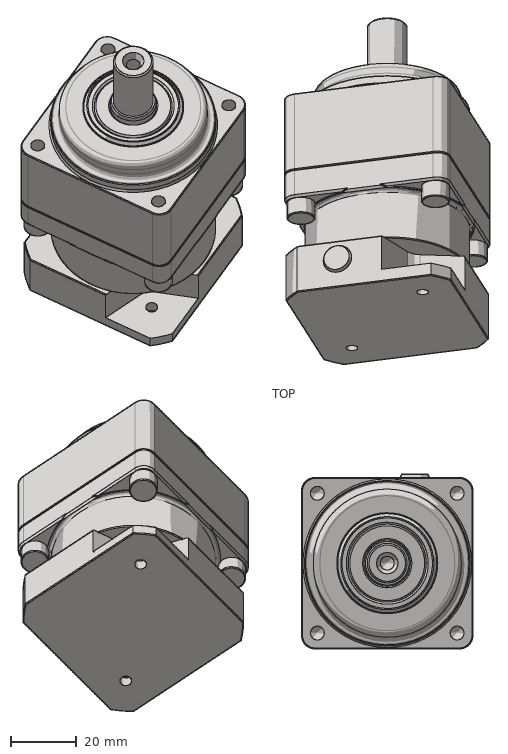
import cadquery as cq
import math

width = 52.0
half_width = width / 2
corner_radius = 4.2
edge_chamfer = 0.3

notch_floor_z = 4.1
plate_top_z = 15.5
flare_start_z = 30.8
boss_bottom_z = 31.8
flange_bottom_z = 32.2
housing_bottom_z = 41.5
housing_top_z = 67.3
ring_base_z = 68.0
ring_top_z = 70.4
dome_top_z = 76.5
rim_top_z = 77.4
collar_top_z = 79.7
total_height = 99.5

plate_turned_diameter = 67.0
notch_start = 5.5
notch_wall_angle = 20.0
notch_fillet = 5.2
motor_hole_diameter = 3.5
motor_hole_offset = 15.5
plug_base_diameter = 9.0
plug_tip_diameter = 8.0
plug_height = 1.0
plug_x = 8.4
plug_z = 9.5

body_diameter = 50.0
boss_diameter = 53.0
flare_radius = boss_bottom_z - flare_start_z
flange_chamfer_height = 0.8
flange_chamfer_width = 0.5

screw_offset = 21.2
screw_head_diameter = 8.5
screw_head_bottom_z = 27.1
mount_hole_diameter = 4.2
mount_hole_depth = 9.95
drill_point_angle = 118.0

ring_base_radius = 25.6
ring_radius = 25.1
dome_radius = 22.5
dome_fillet = 2.0
rim_radius = 15.0
rim_chamfer_height = 0.7
rim_chamfer_width = 0.9
rim_gap = 0.3
rim_inner_radius = 13.7
rim_step = 0.3
groove_outer_radius = 12.4
groove_radius = 11.8
groove_inner_radius = 11.3
groove_bottom_z = 76.5
seal_top_z = 77.1
seal_lip_radius = 7.5
seal_lip_depth = 0.5

collar_diameter = 14.0
collar_chamfer_height = 1.0
collar_chamfer_width = 0.4
shaft_diameter = 12.0
shaft_chamfer = 0.5
center_sink_diameter = 6.5
center_bore_diameter = 4.2
center_bore_depth = 8.0
center_sink_angle = 60.0


def square_block(bottom_z, top_z):
    """Square block with rounded vertical corners."""
    block = cq.Workplane("XY").workplane(offset=bottom_z).rect(width, width).extrude(top_z - bottom_z)
    return block.edges("|Z").fillet(corner_radius)


def drill_tip_depth(diameter):
    """Height of the cone left by a drill point."""
    return diameter / 2 / math.tan(math.radians(drill_point_angle / 2))


def blind_hole(x, y, top_z, diameter, depth):
    """Drilled hole with a conical bottom, opening upwards."""
    radius = diameter / 2
    profile = (
        cq.Workplane("XZ")
        .moveTo(0, top_z)
        .lineTo(radius, top_z)
        .lineTo(radius, top_z - depth)
        .lineTo(0, top_z - depth - drill_tip_depth(diameter))
        .close()
    )
    return profile.revolve(360, (0, 0, 0), (0, 1, 0)).translate((x, y, 0))


def notch():
    """V-shaped corner pocket at +X -Y, symmetric about the plate diagonal."""
    reach = half_width - notch_start
    lean = math.radians(notch_wall_angle)
    vertex = notch_start + reach * math.sin(lean) / (math.cos(lean) + math.sin(lean))
    overshoot = 1.0
    outside = half_width + overshoot
    wall_end = notch_start - overshoot * math.tan(lean)
    pocket = (
        cq.Workplane("XY")
        .workplane(offset=notch_floor_z)
        .polyline([(wall_end, -outside), (outside, -outside), (outside, -wall_end), (vertex, -vertex)])
        .close()
        .extrude(plate_top_z - notch_floor_z)
    )
    inner_edge = cq.selectors.NearestToPointSelector((vertex, -vertex, (notch_floor_z + plate_top_z) / 2))
    return pocket.edges(inner_edge).fillet(notch_fillet)


def motor_plate():
    plate = cq.Workplane("XY").rect(width, width).extrude(plate_top_z)
    plate = plate.intersect(cq.Workplane("XY").circle(plate_turned_diameter / 2).extrude(plate_top_z))
    plate = plate.faces("<Z or >Z").chamfer(edge_chamfer)
    hole = (
        cq.Workplane("XY")
        .center(motor_hole_offset, -motor_hole_offset)
        .circle(motor_hole_diameter / 2)
        .extrude(notch_floor_z)
    )
    corner_cut = notch().union(hole)
    for angle in (0, 180):
        plate = plate.cut(corner_cut.rotate((0, 0, 0), (0, 0, 1), angle))
    return plate


def side_plug():
    """Tapered plug on the +Y side of the plate."""
    base_radius = plug_base_diameter / 2
    taper = math.degrees(math.atan((base_radius - plug_tip_diameter / 2) / plug_height))
    return (
        cq.Workplane("XZ", origin=(plug_x, half_width, plug_z))
        .circle(base_radius)
        .extrude(-plug_height, taper=taper)
    )


def chamfered_flange(bottom_z, top_z):
    """Square block with its lower rim bevelled."""
    return square_block(bottom_z, top_z).faces("<Z").chamfer(flange_chamfer_height, flange_chamfer_width)


def flange():
    block = chamfered_flange(flange_bottom_z, housing_bottom_z)
    return block.faces(">Z").chamfer(edge_chamfer)


def round_body():
    """Cylinder flaring into a shallow boss; the boss is trimmed and bevelled like the flange."""
    radius = body_diameter / 2
    boss_radius = boss_diameter / 2
    flare_center_r = radius + flare_radius
    diagonal = flare_radius * math.sqrt(0.5)
    boss_top_z = flange_bottom_z + flange_chamfer_height
    body = (
        cq.Workplane("XZ")
        .moveTo(0, plate_top_z)
        .lineTo(radius - edge_chamfer, plate_top_z)
        .lineTo(radius, plate_top_z + edge_chamfer)
        .lineTo(radius, flare_start_z)
        .threePointArc(
            (flare_center_r - diagonal, flare_start_z + diagonal),
            (flare_center_r, boss_bottom_z),
        )
        .lineTo(boss_radius, boss_bottom_z)
        .lineTo(boss_radius, boss_top_z)
        .lineTo(0, boss_top_z)
        .close()
        .revolve(360, (0, 0, 0), (0, 1, 0))
    )
    trimmed_width = width - 2 * flange_chamfer_width
    stem = (
        cq.Workplane("XY")
        .workplane(offset=plate_top_z)
        .rect(trimmed_width, trimmed_width)
        .extrude(boss_bottom_z - plate_top_z)
    )
    envelope = stem.union(chamfered_flange(boss_bottom_z, housing_bottom_z))
    return body.intersect(envelope)


def screw_heads():
    height = flange_bottom_z + flange_chamfer_height - screw_head_bottom_z
    heads = (
        cq.Workplane("XY")
        .workplane(offset=screw_head_bottom_z)
        .rect(2 * screw_offset, 2 * screw_offset, forConstruction=True)
        .vertices()
        .circle(screw_head_diameter / 2)
        .extrude(height)
    )
    return heads.faces("<Z").chamfer(edge_chamfer)


def housing():
    block = square_block(housing_bottom_z, housing_top_z)
    block = block.faces("<Z or >Z").chamfer(edge_chamfer)
    for x in (-screw_offset, screw_offset):
        for y in (-screw_offset, screw_offset):
            block = block.cut(blind_hole(x, y, housing_top_z, mount_hole_diameter, mount_hole_depth))
    return block


def nose_and_shaft():
    """Stepped ring, dome, seal rim, collar and shaft as one turned profile."""
    diagonal = dome_fillet * math.sqrt(0.5)
    cove_r = dome_radius + dome_fillet
    cove_z = ring_top_z + dome_fillet
    shoulder_r = dome_radius - dome_fillet
    shoulder_z = dome_top_z - dome_fillet
    collar_radius = collar_diameter / 2
    shaft_radius = shaft_diameter / 2
    return (
        cq.Workplane("XZ")
        .moveTo(0, housing_top_z)
        .lineTo(ring_base_radius, housing_top_z)
        .lineTo(ring_radius, ring_base_z)
        .lineTo(ring_radius, ring_top_z - edge_chamfer)
        .lineTo(ring_radius - edge_chamfer, ring_top_z)
        .lineTo(cove_r, ring_top_z)
        .threePointArc((cove_r - diagonal, cove_z - diagonal), (dome_radius, cove_z))
        .lineTo(dome_radius, shoulder_z)
        .threePointArc((shoulder_r + diagonal, shoulder_z + diagonal), (shoulder_r, dome_top_z))
        .lineTo(rim_radius + rim_gap, dome_top_z)
        .lineTo(rim_radius, dome_top_z - rim_gap)
        .lineTo(rim_radius, rim_top_z - rim_chamfer_height)
        .lineTo(rim_radius - rim_chamfer_width, rim_top_z)
        .lineTo(rim_inner_radius, rim_top_z)
        .lineTo(rim_inner_radius, rim_top_z - rim_step)
        .lineTo(groove_outer_radius, rim_top_z - rim_step)
        .lineTo(groove_radius, groove_bottom_z)
        .lineTo(groove_inner_radius, seal_top_z)
        .lineTo(seal_lip_radius, seal_top_z)
        .lineTo(collar_radius, seal_top_z - seal_lip_depth)
        .lineTo(collar_radius, collar_top_z - collar_chamfer_height)
        .lineTo(collar_radius - collar_chamfer_width, collar_top_z)
        .lineTo(shaft_radius, collar_top_z)
        .lineTo(shaft_radius, total_height - shaft_chamfer)
        .lineTo(shaft_radius - shaft_chamfer, total_height)
        .lineTo(0, total_height)
        .close()
        .revolve(360, (0, 0, 0), (0, 1, 0))
    )


def shaft_center():
    """Centre hole in the shaft end: a countersink over a drilled bore."""
    sink_radius = center_sink_diameter / 2
    bore_radius = center_bore_diameter / 2
    sink_depth = (sink_radius - bore_radius) / math.tan(math.radians(center_sink_angle / 2))
    sink = (
        cq.Workplane("XZ")
        .moveTo(0, total_height)
        .lineTo(sink_radius, total_height)
        .lineTo(bore_radius, total_height - sink_depth)
        .lineTo(0, total_height - sink_depth)
        .close()
        .revolve(360, (0, 0, 0), (0, 1, 0))
    )
    return sink.union(blind_hole(0, 0, total_height, center_bore_diameter, center_bore_depth))


result = (
    motor_plate()
    .union(side_plug())
    .union(round_body())
    .union(flange())
    .union(screw_heads())
    .union(housing())
    .union(nose_and_shaft())
    .cut(shaft_center())
)